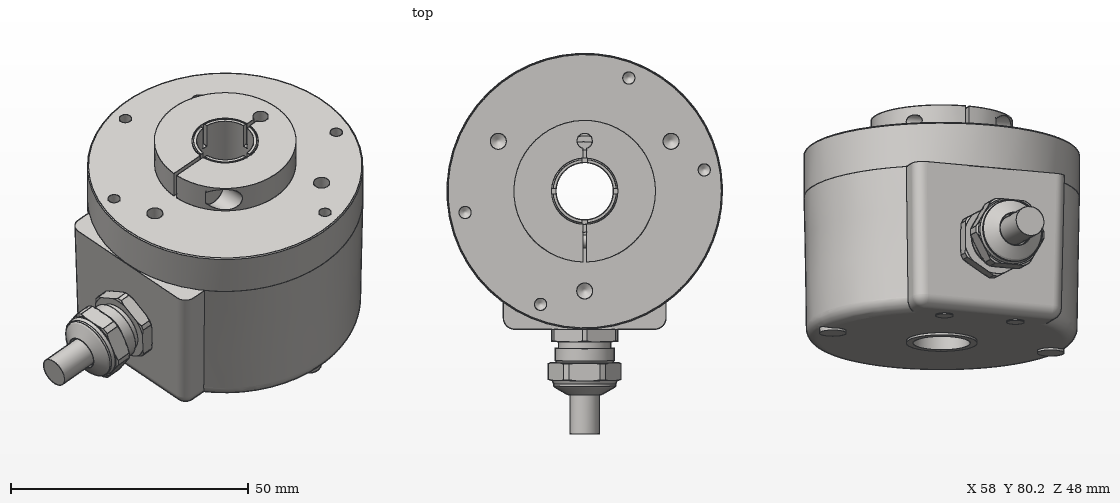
import cadquery as cq
import math

top_z = 48.0
ring_height = 6.4
ring_bottom_z = top_z - ring_height
flange_top_z = 40.9
flange_bottom_z = 31.5
housing_bottom_z = 0.5
draft_angle = 1.0
draft_slope = math.tan(math.radians(draft_angle))

body_radius = 29.0
shaft_radius = 7.45
bore_radius = 6.0

body_edge_radius = 2.9
box_half_width = 17.15
box_front = 29.1
box_edge_radius = 2.5
side_pad_radius = 2.8
side_pad_offset = 24.6
front_pad_radius = 1.85
front_pad_x = 8.0
front_pad_y = -22.1
front_pad_bottom_z = 0.25
pad_root = 2.4

flange_chamfer = 0.25
mount_hole_radius = 1.7
mount_hole_circle = 21.0
mount_hole_angles = (30, 150, 270)
screw_hole_radius = 1.3
screw_hole_circle = 25.55
screw_hole_angles = (10.1, 68.7, 190.1, 248.7)
hole_depth = 6.4
drill_tip_angle = 118.0
groove_inner_radius = 10.4
groove_outer_radius = 11.6
groove_depth = 0.4

collar_radius = 8.65
journal_radius = 7.0
journal_chamfer = 0.3
shaft_slot_width = 1.1
shaft_slot_bottom_z = 42.15

ring_radius = 14.9
slit_width = 0.8
hinge_hole_radius = 1.6
clamp_offset = 10.6
thread_radius = 1.3
thread_end_x = -7.2
head_pocket_radius = 2.9
head_pocket_floor_x = 7.1
screw_shank_radius = 1.4

gland_z = 15.4
hex_flats = 13.95
base_corner_radius = 7.8
nut_corner_radius = 7.7
hex_chamfer_width = 0.5
hex_chamfer_height = 0.2
base_hex_end = 2.8
neck_end = 4.25
sleeve_end = 6.8
nut_start = 7.3
nut_end = 11.0
rim_start = 11.7
rim_end = 12.5
cap_end = 14.0
cable_end = 22.3
neck_radius = 5.5
sleeve_radius = 6.25
seat_radius = 5.9
shoulder_radius = 6.9
rim_radius = 6.6
rim_chamfer = 0.3
cap_end_radius = 3.6
entry_radius = 3.5
entry_depth = 1.2
cable_radius = 3.1


def cylinder(radius, bottom_z, upper_z, x=0, y=0):
    """Vertical cylinder between two heights."""
    return cq.Workplane("XY", origin=(x, y, bottom_z)).circle(radius).extrude(upper_z - bottom_z)


def polar(radius, angle):
    """Point in the XY plane at an angle in degrees."""
    return radius * math.cos(math.radians(angle)), radius * math.sin(math.radians(angle))


def make_drafted_drum():
    height = flange_bottom_z - housing_bottom_z
    return (
        cq.Workplane("XY", origin=(0, 0, flange_bottom_z))
        .circle(body_radius)
        .extrude(-height, taper=draft_angle)
        .faces("<Z")
        .edges()
        .fillet(body_edge_radius)
    )


def make_gland_box():
    height = flange_bottom_z - housing_bottom_z
    box = (
        cq.Workplane("XY", origin=(0, -box_front / 2, flange_bottom_z))
        .rect(2 * box_half_width, box_front)
        .extrude(-height, taper=draft_angle)
    )
    front_corners = box.faces("<Y").edges("not #Z")
    outer_edges = front_corners.add(box.faces("<Z").edges("<Y or <X or >X"))
    return outer_edges.fillet(box_edge_radius)


def make_housing():
    housing = make_drafted_drum().union(make_gland_box())
    pad_top_z = housing_bottom_z + pad_root
    for side in (-1, 1):
        housing = housing.union(cylinder(side_pad_radius, 0, pad_top_z, side * side_pad_offset))
        front_pad = cylinder(
            front_pad_radius, front_pad_bottom_z, pad_top_z, side * front_pad_x, front_pad_y
        )
        housing = housing.union(front_pad)
    return housing.cut(cylinder(shaft_radius, 0, flange_bottom_z))


def blind_hole(radius, x, y):
    """Drilled hole with a conical bottom, entering from the flange top."""
    tip_length = radius / math.tan(math.radians(drill_tip_angle / 2))
    profile = (
        cq.Workplane("XZ")
        .polyline([(0, 0), (radius, 0), (radius, -hole_depth), (0, -hole_depth - tip_length)])
        .close()
    )
    return profile.revolve(360, (0, 0), (0, 1)).translate((x, y, flange_top_z))


def make_flange():
    flange = cylinder(body_radius, flange_bottom_z, flange_top_z)
    flange = flange.faces(">Z").edges().chamfer(flange_chamfer)
    for angle in mount_hole_angles:
        flange = flange.cut(blind_hole(mount_hole_radius, *polar(mount_hole_circle, angle)))
    for angle in screw_hole_angles:
        flange = flange.cut(blind_hole(screw_hole_radius, *polar(screw_hole_circle, angle)))
    groove_bottom_z = flange_top_z - groove_depth
    groove = cylinder(groove_outer_radius, groove_bottom_z, flange_top_z).cut(
        cylinder(groove_inner_radius, groove_bottom_z, flange_top_z)
    )
    return flange.cut(groove).cut(cylinder(shaft_radius, flange_bottom_z, flange_top_z))


def make_shaft():
    journal = cylinder(journal_radius, ring_bottom_z, top_z).faces(">Z").edges().chamfer(journal_chamfer)
    shaft = (
        cylinder(shaft_radius, 0, flange_top_z)
        .union(cylinder(collar_radius, flange_top_z, ring_bottom_z))
        .union(journal)
        .cut(cylinder(bore_radius, 0, top_z))
    )
    slot_height = top_z - shaft_slot_bottom_z
    slot = (
        cq.Workplane("XY", origin=(0, 0, shaft_slot_bottom_z))
        .rect(2 * journal_radius, shaft_slot_width)
        .extrude(slot_height)
    )
    for angle in (0, 90):
        shaft = shaft.cut(slot.rotate((0, 0, 0), (0, 0, 1), angle))
    return shaft


def clamp_cylinder(radius, start_x, end_x):
    """Cylinder on the axis of the clamp screw, parallel to X."""
    middle_z = ring_bottom_z + ring_height / 2
    axis_start = cq.Workplane("YZ", origin=(start_x, -clamp_offset, middle_z))
    return axis_start.circle(radius).extrude(end_x - start_x)


def make_clamp_ring():
    slit_length = ring_radius + clamp_offset
    slit = (
        cq.Workplane("XY", origin=(0, (clamp_offset - ring_radius) / 2, ring_bottom_z))
        .rect(slit_width, slit_length)
        .extrude(ring_height)
    )
    return (
        cylinder(ring_radius, ring_bottom_z, top_z)
        .cut(cylinder(journal_radius, ring_bottom_z, top_z))
        .cut(cylinder(hinge_hole_radius, ring_bottom_z, top_z, 0, clamp_offset))
        .cut(slit)
        .cut(clamp_cylinder(thread_radius, -ring_radius, thread_end_x))
        .cut(clamp_cylinder(head_pocket_radius, head_pocket_floor_x, ring_radius))
        .union(clamp_cylinder(screw_shank_radius, -slit_width, slit_width))
    )


def make_hexagon(corner_radius, start, end, turn):
    """Hexagon with chamfered, turned-down corners; a turn of 0 degrees puts a corner on local X."""
    corner_diameter = hex_flats / math.cos(math.radians(30))
    face_radius = corner_radius - hex_chamfer_width
    blank_outline = [
        (0, start),
        (face_radius, start),
        (corner_radius, start + hex_chamfer_height),
        (corner_radius, end - hex_chamfer_height),
        (face_radius, end),
        (0, end),
    ]
    blank = cq.Workplane("XZ").polyline(blank_outline).close().revolve(360, (0, 0), (0, 1))
    prism = cq.Workplane("XY", origin=(0, 0, start)).polygon(6, corner_diameter).extrude(end - start)
    return blank.intersect(prism.rotate((0, 0, 0), (0, 0, 1), turn))


def make_turned_core():
    outline = [
        (0, 0),
        (neck_radius, 0),
        (neck_radius, neck_end),
        (sleeve_radius, neck_end),
        (sleeve_radius, sleeve_end),
        (seat_radius, nut_start),
        (seat_radius, nut_end),
        (shoulder_radius, nut_end),
        (rim_radius, rim_start),
        (rim_radius, rim_end - rim_chamfer),
        (rim_radius - rim_chamfer, rim_end),
        (cap_end_radius, cap_end),
        (entry_radius, cap_end),
        (entry_radius, cap_end - entry_depth),
        (cable_radius, cap_end - entry_depth),
        (cable_radius, cable_end),
        (0, cable_end),
    ]
    return cq.Workplane("XZ").polyline(outline).close().revolve(360, (0, 0), (0, 1))


def make_cable_gland():
    gland = (
        make_turned_core()
        .union(make_hexagon(base_corner_radius, 0, base_hex_end, 30))
        .union(make_hexagon(nut_corner_radius, nut_start, nut_end, 0))
    )
    seat_y = -box_front + (flange_bottom_z - gland_z) * draft_slope
    seat = cq.Plane(origin=(0, seat_y, gland_z), xDir=(1, 0, 0), normal=(0, -1, -draft_slope))
    return cq.Workplane(gland.val().moved(cq.Location(seat)))


housing = make_housing()
flange = make_flange()
shaft = make_shaft()
clamp_ring = make_clamp_ring()
cable_gland = make_cable_gland()

result = cq.Compound.makeCompound([
    housing.val(),
    flange.val(),
    shaft.val(),
    clamp_ring.val(),
    cable_gland.val(),
])